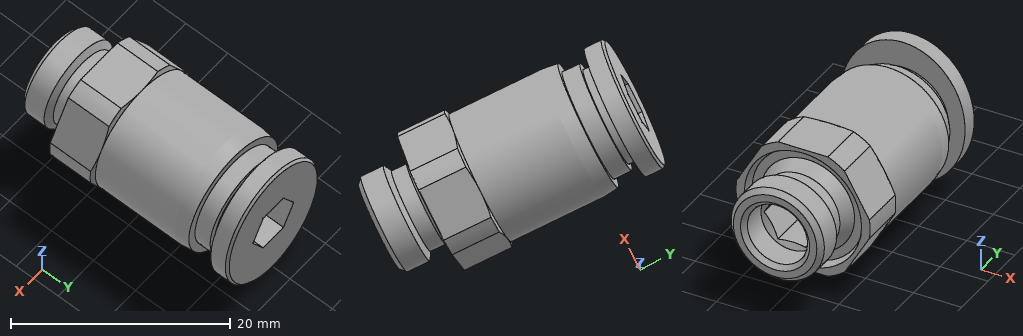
import cadquery as cq
import math


TIP_CHAMFER_END = 0.5
THREAD_END = 2.8
RELIEF_START = 3.25
FLARE_START = 4.8
HEX_FRONT = 5.25
HEX_BACK = 10.28
BODY_END = 19.75
TAPER_END = 21.25
COLLAR_END = 23.05
RING_FRONT = 24.0
LENGTH = 26.0

THREAD_RADIUS = 9.728 / 2
TIP_RADIUS = 4.35
RELIEF_RADIUS = 4.1
BODY_RADIUS = 6.5
TAPER_RADIUS = 6.32
COLLAR_RADIUS = 5.45
RING_NECK_RADIUS = 4.8

HEX_ACROSS_FLATS = 2 * BODY_RADIUS
HEX_CORNER_RADIUS = 7.0
HEX_CHAMFER_LENGTH = 0.2

FLARE_ANGLE = 30.0
RECESS_FLOOR = HEX_FRONT + 0.9
FLARE_RADIUS = RELIEF_RADIUS + (RECESS_FLOOR - FLARE_START) * math.tan(math.radians(FLARE_ANGLE))
RECESS_MOUTH_RADIUS = 6.1
RECESS_FLOOR_RADIUS = 5.8

RING_WIDTH = 13.0
RING_HEIGHT = 15.0
RING_CHAMFER = 0.25

BORE_MOUTH_RADIUS = 3.6
BORE_RADIUS = 3.13
BORE_CHAMFER_LENGTH = 0.45
BORE_DEPTH = 3.0
BORE_CONE_ANGLE = 60.0
KEY_ACROSS_FLATS = 5.0


def revolve_profile(points):
    """Turn a closed (radius, station) outline about the Y axis."""
    return cq.Workplane("XY").polyline(points).close().revolve(360, (0, 0, 0), (0, 1, 0))


def section_at(station):
    """Workplane across the axis, facing +Y, at the given station."""
    return cq.Workplane(cq.Plane((0, station, 0), xDir=(1, 0, 0), normal=(0, 1, 0)))


def hex_prism(across_flats, start, end):
    """Hexagonal bar along the axis with corners on the X axis."""
    across_corners = across_flats / math.cos(math.pi / 6)
    return section_at(start).polygon(6, across_corners).extrude(end - start)


def turned_body():
    """Thread, relief, sleeve, collar and release ring neck."""
    return revolve_profile([
        (0, 0),
        (TIP_RADIUS, 0),
        (THREAD_RADIUS, TIP_CHAMFER_END),
        (THREAD_RADIUS, THREAD_END),
        (RELIEF_RADIUS, RELIEF_START),
        (RELIEF_RADIUS, HEX_FRONT),
        (BODY_RADIUS, HEX_FRONT),
        (BODY_RADIUS, BODY_END),
        (TAPER_RADIUS, TAPER_END),
        (COLLAR_RADIUS, TAPER_END),
        (COLLAR_RADIUS, COLLAR_END),
        (RING_NECK_RADIUS, COLLAR_END),
        (RING_NECK_RADIUS, RING_FRONT),
        (0, RING_FRONT),
    ])


def spanner_hex():
    """Hexagon with turned corners and a shallow chamfer on its back side."""
    turned_limit = revolve_profile([
        (0, HEX_FRONT),
        (HEX_CORNER_RADIUS, HEX_FRONT),
        (HEX_CORNER_RADIUS, HEX_BACK - HEX_CHAMFER_LENGTH),
        (BODY_RADIUS, HEX_BACK),
        (0, HEX_BACK),
    ])
    return hex_prism(HEX_ACROSS_FLATS, HEX_FRONT, HEX_BACK).intersect(turned_limit)


def release_ring():
    """Elliptical ring with a chamfered outer end."""
    ring = section_at(RING_FRONT).ellipse(RING_WIDTH / 2, RING_HEIGHT / 2).extrude(LENGTH - RING_FRONT)
    return ring.faces(">Y").edges().chamfer(RING_CHAMFER)


def relief_flare():
    """Cone that widens from the thread relief to the floor of the seal recess."""
    return revolve_profile([
        (0, FLARE_START),
        (RELIEF_RADIUS, FLARE_START),
        (FLARE_RADIUS, RECESS_FLOOR),
        (0, RECESS_FLOOR),
    ])


def seal_recess():
    """Tapered pocket in the front of the hexagon; the flare is added back inside it."""
    return revolve_profile([
        (0, HEX_FRONT),
        (RECESS_MOUTH_RADIUS, HEX_FRONT),
        (RECESS_FLOOR_RADIUS, RECESS_FLOOR),
        (0, RECESS_FLOOR),
    ])


def bore():
    """Chamfered round bore ending in a cone."""
    cone_length = BORE_RADIUS / math.tan(math.radians(BORE_CONE_ANGLE))
    return revolve_profile([
        (0, 0),
        (BORE_MOUTH_RADIUS, 0),
        (BORE_RADIUS, BORE_CHAMFER_LENGTH),
        (BORE_RADIUS, BORE_DEPTH),
        (0, BORE_DEPTH + cone_length),
    ])


shell = turned_body().union(spanner_hex()).cut(seal_recess())
outside = shell.union(relief_flare()).union(release_ring())
result = outside.cut(bore()).cut(hex_prism(KEY_ACROSS_FLATS, 0, LENGTH))